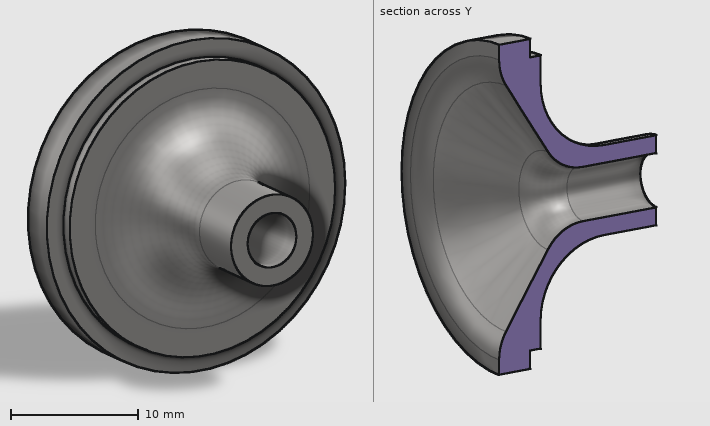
import cadquery as cq
import math

flange_thickness = 3.0
step_thickness = 1.0
neck_fillet = 6.0
stub_length = 5.0

flange_radius = 27.0 / 2
step_radius = 24.0 / 2
stub_radius = 7.4 / 2
bore_radius = 4.4 / 2
mouth_radius = 24.5 / 2

cone_angle = math.radians(33.4)
mouth_blend = 4.0
throat_blend = 4.0

OPPOSITE_AXIS = math.radians(180)
TOWARDS_AXIS = math.radians(270)
HALFWAY = (OPPOSITE_AXIS + TOWARDS_AXIS) / 2

neck_start = flange_thickness + step_thickness
stub_start = neck_start + neck_fillet
total_length = stub_start + stub_length


def arc_point(center, radius, angle):
    """Point (x, r) on a circle, with the angle measured from +X towards +r."""
    return (center[0] + radius * math.cos(angle), center[1] + radius * math.sin(angle))


def revolve_about_x(profile):
    """Full turn of a closed half-profile, drawn with X along the axis and Y as the radius."""
    return profile.revolve(360, (0, 0, 0), (1, 0, 0))


def make_body():
    """Solid flange, step, flared neck and stub, revolved about X."""
    neck_center = (stub_start, stub_radius + neck_fillet)
    profile = (
        cq.Workplane("XY")
        .moveTo(0, 0)
        .lineTo(0, flange_radius)
        .lineTo(flange_thickness, flange_radius)
        .lineTo(flange_thickness, step_radius)
        .lineTo(neck_start, step_radius)
        .lineTo(neck_start, stub_radius + neck_fillet)
        .threePointArc(
            arc_point(neck_center, neck_fillet, HALFWAY),
            (stub_start, stub_radius),
        )
        .lineTo(total_length, stub_radius)
        .lineTo(total_length, 0)
        .close()
    )
    return revolve_about_x(profile)


def make_cavity():
    """Funnel and through bore, revolved about X."""
    mouth_center = (mouth_blend, mouth_radius)
    mouth_end = arc_point(mouth_center, mouth_blend, OPPOSITE_AXIS + cone_angle)
    mouth_middle = arc_point(mouth_center, mouth_blend, OPPOSITE_AXIS + cone_angle / 2)

    throat_center_radius = bore_radius + throat_blend
    throat_start_radius = throat_center_radius - throat_blend * math.sin(cone_angle)
    cone_depth = (mouth_end[1] - throat_start_radius) * math.tan(cone_angle)
    throat_start_x = mouth_end[0] + cone_depth
    throat_center = (
        throat_start_x + throat_blend * math.cos(cone_angle),
        throat_center_radius,
    )
    throat_middle_angle = (OPPOSITE_AXIS + cone_angle + TOWARDS_AXIS) / 2

    profile = (
        cq.Workplane("XY")
        .moveTo(0, 0)
        .lineTo(0, mouth_radius)
        .threePointArc(mouth_middle, mouth_end)
        .lineTo(throat_start_x, throat_start_radius)
        .threePointArc(
            arc_point(throat_center, throat_blend, throat_middle_angle),
            (throat_center[0], bore_radius),
        )
        .lineTo(total_length, bore_radius)
        .lineTo(total_length, 0)
        .close()
    )
    return revolve_about_x(profile)


result = make_body().cut(make_cavity())